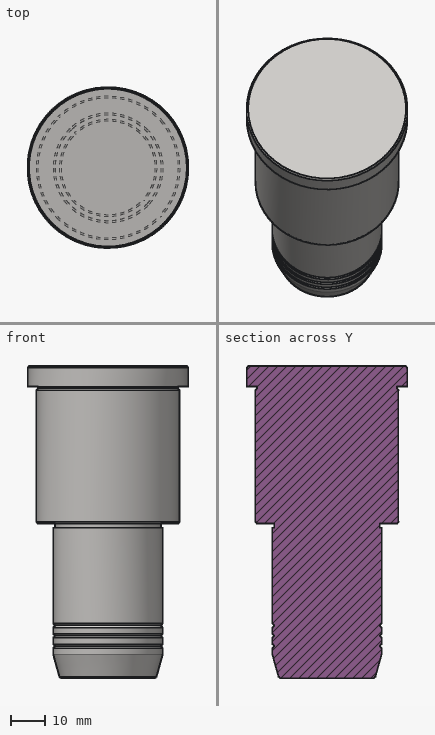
import cadquery as cq

length = 91.0
flange_radius = 23.5
body_radius = 20.9
shaft_radius = 16.0
tip_radius = 14.2

flange_bottom = length - 6.0
body_bottom = length - 46.0
taper_height = 7.0

edge_chamfer = 0.5
tip_chamfer = 0.5
relief_depth = 0.55
flange_relief_height = 0.55
shaft_relief_height = 1.2

groove_count = 3
groove_pitch = 3.0
lowest_groove_height = 9.4
groove_depth = 0.59


def stepped_body():
    """Flange, body and tapered shaft revolved about Z."""
    flange_relief_radius = body_radius - edge_chamfer
    shaft_relief_radius = shaft_radius - relief_depth
    body_top = flange_bottom - flange_relief_height
    shaft_top = body_bottom - shaft_relief_height
    profile = [
        (0, 0),
        (tip_radius - tip_chamfer, 0),
        (tip_radius, tip_chamfer),
        (shaft_radius, taper_height),
        (shaft_radius, shaft_top),
        (shaft_relief_radius, shaft_top),
        (shaft_relief_radius, body_bottom),
        (body_radius - edge_chamfer, body_bottom),
        (body_radius, body_bottom + edge_chamfer),
        (body_radius, body_top - edge_chamfer),
        (flange_relief_radius, body_top),
        (flange_relief_radius, flange_bottom),
        (flange_radius, flange_bottom),
        (flange_radius, length - edge_chamfer),
        (flange_radius - edge_chamfer, length),
        (0, length),
    ]
    return cq.Workplane("XZ").polyline(profile).close().revolve(360, (0, 0), (0, 1))


def groove_cutter(height):
    """Ring with a 45-degree V section, centred on the given height."""
    outer_radius = shaft_radius + groove_depth
    half_width = 2 * groove_depth
    section = [
        (shaft_radius - groove_depth, height),
        (outer_radius, height - half_width),
        (outer_radius, height + half_width),
    ]
    return cq.Workplane("XZ").polyline(section).close().revolve(360, (0, 0), (0, 1))


result = stepped_body()
for index in range(groove_count):
    result = result.cut(groove_cutter(lowest_groove_height + index * groove_pitch))